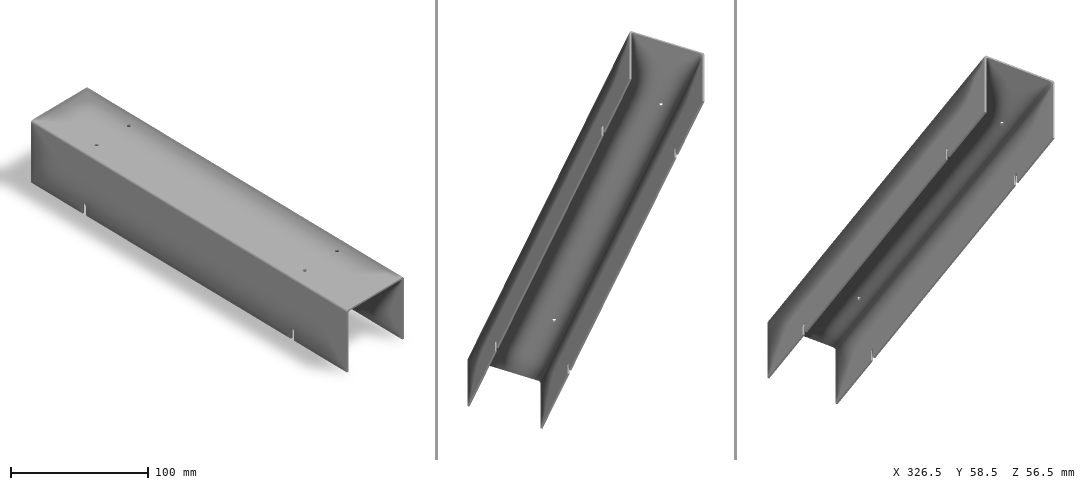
import cadquery as cq

length = 326.5
width = 58.5
height = 56.5
thickness = 1.5
bend_radius = 1.9

first_station = 55.0
station_spacing = 215.2
station_xs = [first_station - length / 2 + i * station_spacing for i in range(2)]

hole_diameter = 2.8
hole_row_spacing = 33.3

notch_width = 3.3
notch_height = 9.8


def rounded_bar(bar_width, bar_height, corner_radius):
    """Full-length bar standing on Z = 0 with its two long top edges rounded."""
    bar = cq.Workplane("XY").box(length, bar_width, bar_height, centered=(True, True, False))
    return bar.edges("|X and >Z").fillet(corner_radius)


def folded_channel():
    outside = rounded_bar(width, height, bend_radius)
    inside = rounded_bar(width - 2 * thickness, height - thickness, bend_radius)
    return outside.cut(inside)


def web_holes():
    """Round holes through the top web, in two rows."""
    centers = [(x, side * hole_row_spacing / 2) for x in station_xs for side in (-1, 1)]
    return cq.Workplane("XY").pushPoints(centers).circle(hole_diameter / 2).extrude(height)


def flange_notch(x):
    """Round-topped notch, open at the bottom, through both flanges."""
    half_width = notch_width / 2
    shoulder = notch_height - half_width
    return (
        cq.Workplane("XZ")
        .moveTo(x - half_width, 0)
        .lineTo(x - half_width, shoulder)
        .threePointArc((x, notch_height), (x + half_width, shoulder))
        .lineTo(x + half_width, 0)
        .close()
        .extrude(width / 2, both=True)
    )


result = folded_channel().cut(web_holes())
for station_x in station_xs:
    result = result.cut(flange_notch(station_x))